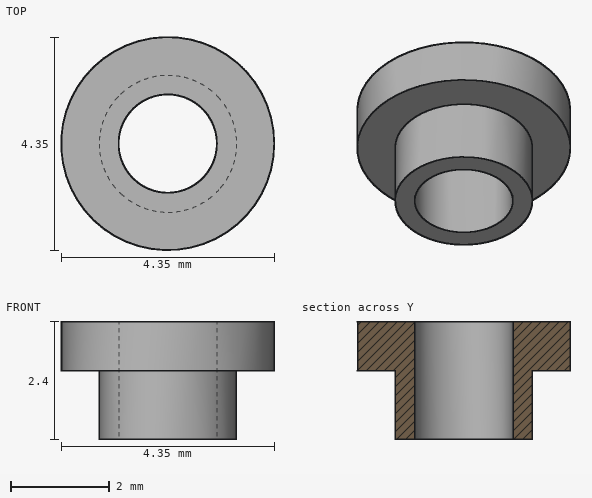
import cadquery as cq

flange_diameter = 4.35
sleeve_diameter = 2.8
bore_diameter = 2.0
total_height = 2.4
flange_height = 1.0
sleeve_height = total_height - flange_height

sleeve = cq.Workplane("XY").circle(sleeve_diameter / 2).extrude(sleeve_height)

body = sleeve.faces(">Z").workplane().circle(flange_diameter / 2).extrude(flange_height)

result = body.faces(">Z").workplane().circle(bore_diameter / 2).cutThruAll()